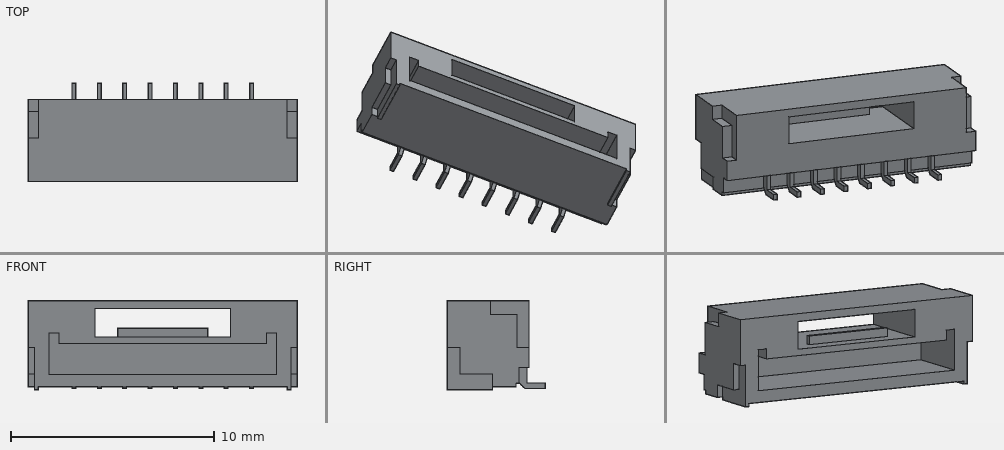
import cadquery as cq

length = 13.25
depth = 4.05
height = 4.25
half_length = length / 2
cut_margin = 1.0

tail_step_depth = 0.5
tail_step_top = 0.95
lip_depth = 0.65
lip_top = 0.18

back_notch_width = 0.5
back_notch_reach = 1.9
back_notch_drop = 0.68
back_notch_leg = 0.6
corner_level = 1.95

plate_recess = 0.3
plate_thickness = 0.2
plate_reach = 2.25
plate_foot_top = 0.63
plate_leg = 0.65
plate_drop = 0.15

slot_length = 11.2
slot_floor = 0.6
slot_ceiling = 2.15
slot_back_wall = 0.75
slot_depth = depth - slot_back_wall
key_width = 0.48
key_top = 2.65

window_length = 6.65
window_sill = 2.47
window_top = height - 0.4
ridge_length = 4.45
ridge_height = 0.43
ridge_setback = 0.8
ridge_depth = 0.2

contact_count = 8
contact_pitch = 1.25
contact_width = 0.2
contact_tip = 4.85
contact_bottom = -0.08
contact_foot_top = 0.2
contact_leg = 0.4
contact_bend = 0.28


def block(x_range, y_range, z_range):
    """Box spanning the given (low, high) range on each axis."""
    sizes = [high - low for low, high in (x_range, y_range, z_range)]
    corner = (x_range[0], y_range[0], z_range[0])
    return cq.Workplane("XY").box(*sizes, centered=False).translate(corner)


def centred_block(x_length, y_range, z_range):
    """Box centred on X = 0."""
    return block((-x_length / 2, x_length / 2), y_range, z_range)


def side_prism(points, x_start, width):
    """Prism along +X from a (Y, Z) outline."""
    return cq.Workplane("YZ").polyline(points).close().extrude(width).translate((x_start, 0, 0))


def both_ends(shape):
    """The shape together with its mirror image at the other end."""
    return shape.union(shape.mirror("YZ"))


def housing_block():
    outline = [
        (0, 0),
        (depth - lip_depth, 0),
        (depth - lip_depth, lip_top),
        (depth - tail_step_depth, lip_top),
        (depth - tail_step_depth, tail_step_top),
        (depth, tail_step_top),
        (depth, height),
        (0, height),
    ]
    return side_prism(outline, -half_length, length)


def back_notches():
    outline = [
        (depth, corner_level),
        (depth, height),
        (depth - back_notch_reach, height),
        (depth - back_notch_reach, height - back_notch_drop),
        (depth - back_notch_leg, height - back_notch_drop),
        (depth - back_notch_leg, corner_level),
    ]
    return both_ends(side_prism(outline, -half_length, back_notch_width))


def plate_outline(bottom):
    return [
        (0, bottom),
        (plate_reach, bottom),
        (plate_reach, plate_foot_top),
        (plate_leg, plate_foot_top),
        (plate_leg, corner_level),
        (0, corner_level),
    ]


def plate_recesses():
    return both_ends(side_prism(plate_outline(0), -half_length, plate_recess))


def solder_plates():
    plate_start = -half_length + plate_recess
    return both_ends(side_prism(plate_outline(-plate_drop), plate_start, plate_thickness))


def mating_slot():
    y_range = (-cut_margin, slot_depth)
    slot = centred_block(slot_length, y_range, (slot_floor, slot_ceiling))
    key_start = -slot_length / 2
    key = block((key_start, key_start + key_width), y_range, (slot_floor, key_top))
    return slot.union(both_ends(key))


def window():
    return centred_block(window_length, (-cut_margin, depth + cut_margin), (window_sill, window_top))


def latch_ridge():
    y_range = (ridge_setback, ridge_setback + ridge_depth)
    return centred_block(ridge_length, y_range, (window_sill, window_sill + ridge_height))


def contact(x_centre):
    leg_front = depth - tail_step_depth
    leg_back = leg_front + contact_leg
    outline = [
        (leg_front, tail_step_top),
        (leg_front, contact_bottom + contact_bend),
        (leg_front + contact_bend, contact_bottom),
        (contact_tip, contact_bottom),
        (contact_tip, contact_foot_top),
        (leg_back, contact_foot_top),
        (leg_back, tail_step_top),
    ]
    return side_prism(outline, x_centre - contact_width / 2, contact_width)


result = housing_block().cut(back_notches()).cut(plate_recesses())
result = result.cut(mating_slot()).cut(window())
result = result.union(latch_ridge()).union(solder_plates())
for index in range(contact_count):
    x_centre = (index - (contact_count - 1) / 2) * contact_pitch
    result = result.union(contact(x_centre))